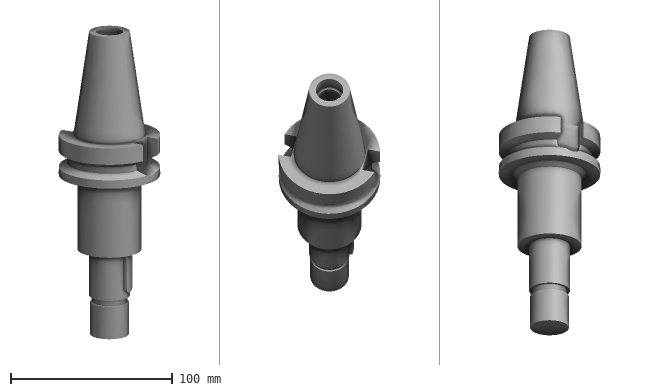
import cadquery as cq
import math


gauge_diameter = 44.45
taper_length = 65.4
taper_ratio = 7 / 24
taper_end_diameter = gauge_diameter - taper_length * taper_ratio

flange_diameter = 63.0
flange_top_z = -1.0
flange_bottom_z = -27.0
groove_centre_z = -16.6
groove_floor_diameter = 53.0
groove_floor_width = 4.3
groove_side_angle = 30.0

slot_width = 16.1
slot_floor_offset = 22.6
slot_bottom_z = -23.0

body_diameter = 40.0
body_bottom_z = -75.0
collar_diameter = 46.0
collar_height = (collar_diameter - body_diameter) / 2
pilot_diameter = 25.4
pilot_bottom_z = -105.0
relief_diameter = 21.5
relief_width = 4.0
nose_diameter = 24.0
nose_bottom_z = -130.0

key_gap = 0.9
key_length = 25.0
key_width = 6.35
key_top_z = body_bottom_z - key_gap
key_outer_x = 15.0
key_seat_x = 9.0

counterbore_diameter = 17.0
counterbore_depth = 9.0
bore_diameter = 14.0
bore_depth = 30.0


def make_turned_body():
    """Revolve the half section of the taper, flange, body and arbor."""
    flange_radius = flange_diameter / 2
    groove_radius = groove_floor_diameter / 2
    groove_side_height = (flange_radius - groove_radius) * math.tan(math.radians(groove_side_angle))
    groove_floor_half = groove_floor_width / 2
    groove_mouth_half = groove_floor_half + groove_side_height
    relief_bottom_z = pilot_bottom_z - relief_width

    section = [
        (0, taper_length),
        (taper_end_diameter / 2, taper_length),
        (gauge_diameter / 2, 0),
        (gauge_diameter / 2, flange_top_z),
        (flange_radius, flange_top_z),
        (flange_radius, groove_centre_z + groove_mouth_half),
        (groove_radius, groove_centre_z + groove_floor_half),
        (groove_radius, groove_centre_z - groove_floor_half),
        (flange_radius, groove_centre_z - groove_mouth_half),
        (flange_radius, flange_bottom_z),
        (collar_diameter / 2, flange_bottom_z),
        (body_diameter / 2, flange_bottom_z - collar_height),
        (body_diameter / 2, body_bottom_z),
        (pilot_diameter / 2, body_bottom_z),
        (pilot_diameter / 2, pilot_bottom_z),
        (relief_diameter / 2, pilot_bottom_z),
        (relief_diameter / 2, relief_bottom_z),
        (nose_diameter / 2, relief_bottom_z),
        (nose_diameter / 2, nose_bottom_z),
        (0, nose_bottom_z),
    ]
    return cq.Workplane("XZ").polyline(section).close().revolve(360, (0, 0, 0), (0, 1, 0))


def make_drive_slot():
    """Round-bottomed slot on the +X side, open at the top and rim of the flange."""
    half_width = slot_width / 2
    arc_centre_z = slot_bottom_z + half_width
    depth = flange_diameter / 2 - slot_floor_offset
    return (
        cq.Workplane("YZ", origin=(slot_floor_offset, 0, 0))
        .moveTo(-half_width, flange_top_z)
        .lineTo(-half_width, arc_centre_z)
        .threePointArc((0, slot_bottom_z), (half_width, arc_centre_z))
        .lineTo(half_width, flange_top_z)
        .close()
        .extrude(depth)
    )


def make_key():
    """Round-ended key standing out of the pilot on the +X side."""
    key_centre_z = key_top_z - key_length / 2
    return (
        cq.Workplane("YZ", origin=(key_seat_x, 0, key_centre_z))
        .slot2D(key_length, key_width, 90)
        .extrude(key_outer_x - key_seat_x)
    )


def make_pull_stud_bore():
    """Stepped blind bore entering from the small end of the taper."""
    mouth = cq.Workplane("XY", origin=(0, 0, taper_length))
    counterbore = mouth.circle(counterbore_diameter / 2).extrude(-counterbore_depth)
    bore = mouth.circle(bore_diameter / 2).extrude(-bore_depth)
    return counterbore.union(bore)


result = make_turned_body()
for slot_angle in (0, 180):
    result = result.cut(make_drive_slot().rotate((0, 0, 0), (0, 0, 1), slot_angle))
result = result.union(make_key())
result = result.cut(make_pull_stud_bore())